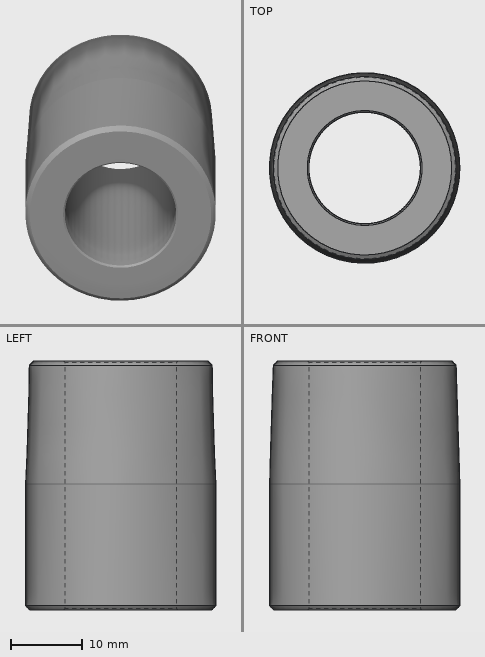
import cadquery as cq

height = 34.92
body_diameter = 26.68
bore_diameter = 15.6

taper_start = 17.65
taper_top_diameter = 25.63

rim_chamfer = 0.63
bore_chamfer = 0.25

body_radius = body_diameter / 2
taper_top_radius = taper_top_diameter / 2
bore_radius = bore_diameter / 2

wall_section = (
    cq.Workplane("XZ")
    .moveTo(body_radius - rim_chamfer, 0)
    .lineTo(body_radius, rim_chamfer)
    .lineTo(body_radius, taper_start)
    .lineTo(taper_top_radius, height - rim_chamfer)
    .lineTo(taper_top_radius - rim_chamfer, height)
    .lineTo(bore_radius + bore_chamfer, height)
    .lineTo(bore_radius, height - bore_chamfer)
    .lineTo(bore_radius, bore_chamfer)
    .lineTo(bore_radius + bore_chamfer, 0)
    .close()
)

result = wall_section.revolve(360, (0, 0), (0, 1))